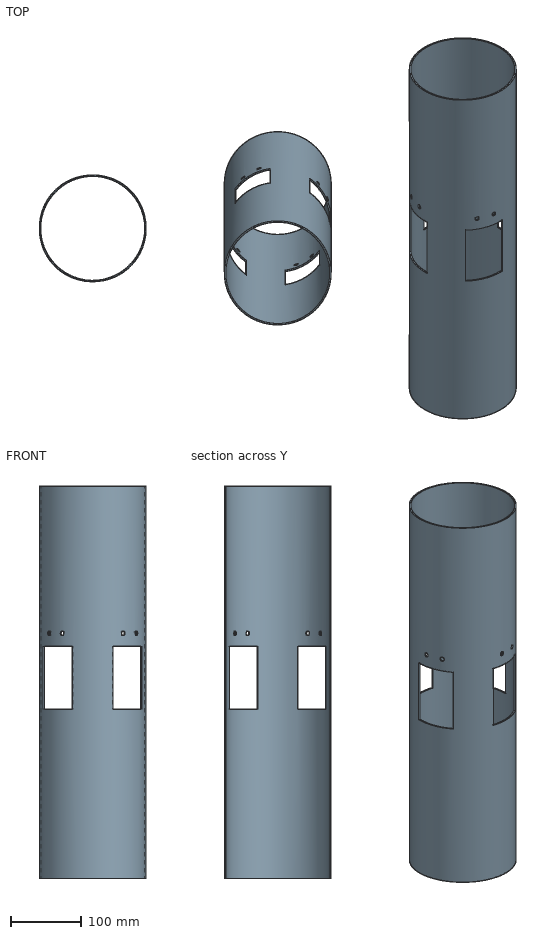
import cadquery as cq

length = 559.0
outer_diameter = 152.5
inner_diameter = 148.0

window_count = 4
window_angle = 45
window_height = 89.5
window_bottom = 241.5
first_window_direction = 45

hole_diameter = 6.0
hole_angle = 20
hole_gap = 18.5

hole_height = window_bottom + window_height + hole_gap
cut_reach = outer_diameter


def turned(shape, angle):
    """Turn a shape about the tube axis."""
    return shape.rotate((0, 0, 0), (0, 0, 1), angle)


def make_tube():
    return cq.Workplane("XY").circle(outer_diameter / 2).circle(inner_diameter / 2).extrude(length)


def make_window_cutter(direction):
    """A wedge around the tube axis, centred on the given direction."""
    wedge = (
        cq.Workplane("XZ")
        .center(0, window_bottom)
        .rect(cut_reach, window_height, centered=False)
        .revolve(window_angle, (0, 0), (0, 1))
    )
    return turned(wedge, direction - window_angle / 2)


def make_hole_cutter(direction):
    """A pin running outward from the tube axis."""
    pin = cq.Workplane("YZ").center(0, hole_height).circle(hole_diameter / 2).extrude(cut_reach)
    return turned(pin, direction)


result = make_tube()
for index in range(window_count):
    direction = first_window_direction + index * 360 / window_count
    result = result.cut(make_window_cutter(direction))
    for side in (-1, 1):
        result = result.cut(make_hole_cutter(direction + side * hole_angle / 2))